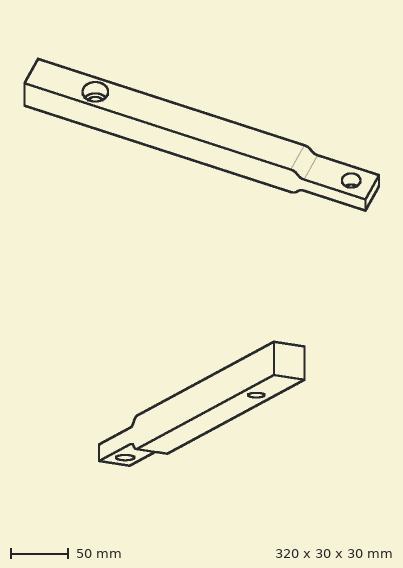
import cadquery as cq

length = 320.0
bar_side = 30.0

tang_thickness = 15.0
shoulder_start = 250.0
shoulder_length = 12.5

bolt_x = 60.0
bolt_diameter = 14.0
counterbore_diameter = 22.0
counterbore_depth = bar_side / 2

tang_hole_x = 300.0
tang_hole_diameter = 16.0


def tapered_bar():
    """Bar, shoulders and tang as one profile in XZ, centred on Y."""
    half_bar = bar_side / 2
    half_tang = tang_thickness / 2
    shoulder_end = shoulder_start + shoulder_length
    along_bar = (1, 0)
    back_along_bar = (-1, 0)
    return (
        cq.Workplane("XZ", origin=(0, half_bar, 0))
        .moveTo(0, half_bar)
        .lineTo(shoulder_start, half_bar)
        .spline([(shoulder_end, half_tang)], tangents=[along_bar, along_bar], includeCurrent=True)
        .lineTo(length, half_tang)
        .lineTo(length, -half_tang)
        .lineTo(shoulder_end, -half_tang)
        .spline(
            [(shoulder_start, -half_bar)],
            tangents=[back_along_bar, back_along_bar],
            includeCurrent=True,
        )
        .lineTo(0, -half_bar)
        .close()
        .extrude(bar_side)
    )


def vertical_cutter(x, diameter, top_z, depth):
    """Cylinder running down from top_z."""
    return cq.Workplane("XY", origin=(x, 0, top_z)).circle(diameter / 2).extrude(-depth)


top = bar_side / 2
result = (
    tapered_bar()
    .cut(vertical_cutter(bolt_x, bolt_diameter, top, bar_side))
    .cut(vertical_cutter(bolt_x, counterbore_diameter, top, counterbore_depth))
    .cut(vertical_cutter(tang_hole_x, tang_hole_diameter, top, bar_side))
)